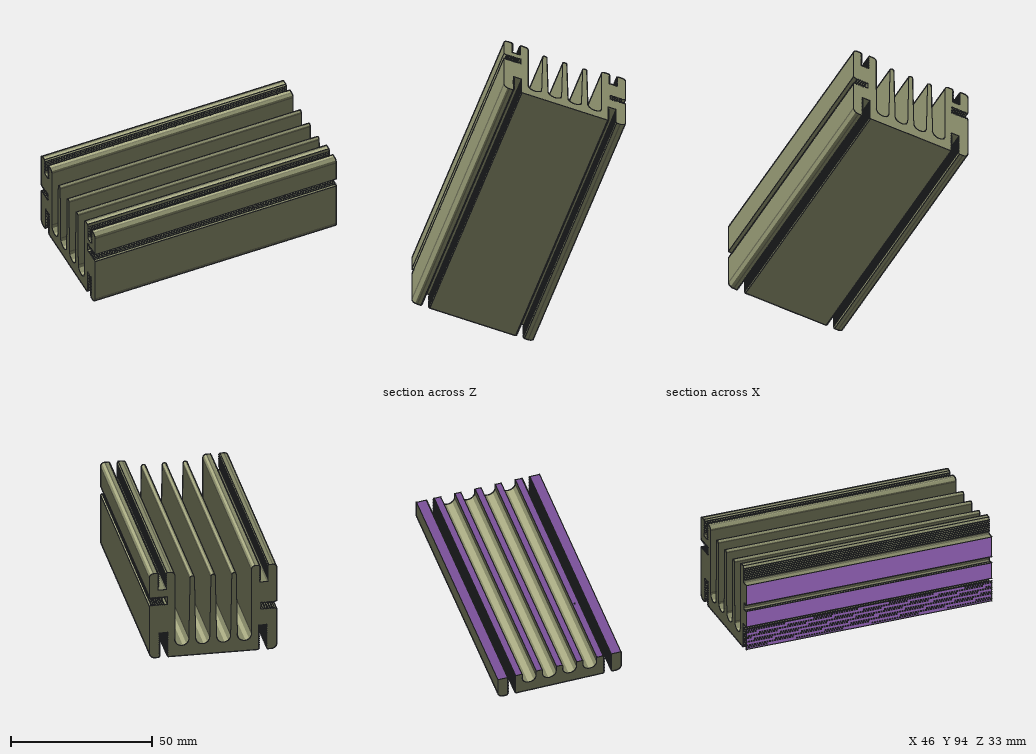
import cadquery as cq

WIDTH = 46.0
LENGTH = 94.0
HEIGHT = 33.0

OUTER_TOP_RADIUS = 1.5
OUTER_BOTTOM_RADIUS = 2.1
INNER_TOP_RADIUS = 1.3
BLOCK_INNER_X = 13.8

FIN_COUNT = 3
FIN_TOP_Z = 30.9
FIN_TIP_RADIUS = 0.8
CHANNEL_RADIUS = 2.5
CHANNEL_FLOOR_Z = 4.0
CHANNEL_COUNT = FIN_COUNT + 1
CHANNEL_PITCH = 2 * (BLOCK_INNER_X - CHANNEL_RADIUS) / FIN_COUNT
CHANNEL_AXIS_Z = CHANNEL_FLOOR_Z + CHANNEL_RADIUS

TOOTH_DEPTH = 0.3
MOUTH_FLARE = 0.2
TOOTH_PITCH = 0.74
SLOT_WIDTH = 3.0

TOP_SLOT_X = 18.3
TOP_SLOT_DEPTH = 6.6
TOP_SLOT_TEETH = 7
TOP_SLOT_CORNER_RADIUS = 0.3

BOTTOM_SLOT_X = 17.9
BOTTOM_SLOT_DEPTH = 9.5
BOTTOM_SLOT_TEETH = 11

RIGHT_SLOT_Z = 22.0
RIGHT_SLOT_DEPTH = 6.5
RIGHT_SLOT_TEETH = 7

LEFT_SLOT_Z = 17.0
LEFT_SLOT_WIDTH = 2.6
LEFT_SLOT_DEPTH = 5.8
LEFT_SLOT_PITCH = 0.88
LEFT_SLOT_TEETH = 5
LEFT_SLOT_CORNER_RADIUS = 0.4

FIRST_TOOTH = 0.6
LEFT_FIRST_TOOTH = 0.9
LEFT_MOUTH_FLARE = 0.4


def extrude_profile(sketch):
    """Extrude a closed XZ outline over the full length, centred on Y."""
    return sketch.extrude(LENGTH / 2, both=True)


def block_body():
    """Solid bar with the four outer long edges rounded."""
    body = cq.Workplane("XY").box(WIDTH, LENGTH, HEIGHT, centered=(True, True, False))
    body = body.edges("|Y and >Z").fillet(OUTER_TOP_RADIUS)
    return body.edges("|Y and <Z").fillet(OUTER_BOTTOM_RADIUS)


def fin_cavity():
    """Space between the side blocks: rounded channels separated by tapered fins."""
    first_axis_x = -CHANNEL_PITCH * (CHANNEL_COUNT - 1) / 2
    tip_axis_z = FIN_TOP_Z - FIN_TIP_RADIUS
    outline = cq.Workplane("XZ").moveTo(-BLOCK_INNER_X, HEIGHT)
    outline = outline.lineTo(-BLOCK_INNER_X, CHANNEL_AXIS_Z)
    for index in range(CHANNEL_COUNT):
        axis_x = first_axis_x + index * CHANNEL_PITCH
        outline = outline.threePointArc(
            (axis_x, CHANNEL_FLOOR_Z), (axis_x + CHANNEL_RADIUS, CHANNEL_AXIS_Z)
        )
        if index < FIN_COUNT:
            fin_x = axis_x + CHANNEL_PITCH / 2
            outline = outline.lineTo(fin_x - FIN_TIP_RADIUS, tip_axis_z)
            outline = outline.threePointArc(
                (fin_x, FIN_TOP_Z), (fin_x + FIN_TIP_RADIUS, tip_axis_z)
            )
            outline = outline.lineTo(axis_x + CHANNEL_PITCH - CHANNEL_RADIUS, CHANNEL_AXIS_Z)
    return extrude_profile(outline.lineTo(BLOCK_INNER_X, HEIGHT).close())


def serrated_wall(half_width, mouth_flare, first_tooth, pitch, teeth):
    """Points (depth, offset) down one slot wall: flared mouth, then crests and roots."""
    points = [(0, half_width + mouth_flare)]
    for index in range(teeth):
        crest_depth = first_tooth + index * pitch
        points.append((crest_depth, half_width - TOOTH_DEPTH))
        points.append((crest_depth + pitch / 2, half_width))
    return points


def screw_slot(
    mouth, inward, width, depth, pitch, teeth,
    first_tooth=FIRST_TOOTH, mouth_flare=MOUTH_FLARE, corner_radius=0,
):
    """Cutter for a serrated slot that starts at mouth (x, z) and runs along inward (x, z).

    The wall on the left of the inward direction has its teeth half a pitch deeper.
    """
    half_width = width / 2
    right_wall = serrated_wall(half_width, mouth_flare, first_tooth, pitch, teeth)
    left_wall = serrated_wall(half_width, mouth_flare, first_tooth + pitch / 2, pitch, teeth)
    local_points = [(d, -offset) for d, offset in right_wall]
    local_points += [(depth, -half_width), (depth, half_width)]
    local_points += [(d, offset) for d, offset in reversed(left_wall)]
    outline = [
        (mouth[0] + d * inward[0] - offset * inward[1], mouth[1] + d * inward[1] + offset * inward[0])
        for d, offset in local_points
    ]
    cutter = extrude_profile(cq.Workplane("XZ").polyline(outline).close())
    if corner_radius:
        end_face = cq.DirectionMinMaxSelector(cq.Vector(inward[0], 0, inward[1]))
        cutter = cutter.faces(end_face).edges("|Y").fillet(corner_radius)
    return cutter


def mirrored_pair(cutter):
    """The cutter together with its mirror image on the other side block."""
    return cutter.union(cutter.mirror("YZ"))


def round_inner_block_tops(body):
    """Round the top edges of the side blocks that face the fins."""
    margin = 0.1
    inner_tops = cq.selectors.BoxSelector(
        (-BLOCK_INNER_X - margin, -LENGTH, HEIGHT - margin),
        (BLOCK_INNER_X + margin, LENGTH, HEIGHT + margin),
    )
    return body.edges("|Y").edges(inner_tops).fillet(INNER_TOP_RADIUS)


top_slot = screw_slot(
    (-TOP_SLOT_X, HEIGHT), (0, -1), SLOT_WIDTH, TOP_SLOT_DEPTH,
    TOOTH_PITCH, TOP_SLOT_TEETH, corner_radius=TOP_SLOT_CORNER_RADIUS,
)
bottom_slot = screw_slot(
    (-BOTTOM_SLOT_X, 0), (0, 1), SLOT_WIDTH, BOTTOM_SLOT_DEPTH,
    TOOTH_PITCH, BOTTOM_SLOT_TEETH,
)
right_slot = screw_slot(
    (-WIDTH / 2, RIGHT_SLOT_Z), (1, 0), SLOT_WIDTH, RIGHT_SLOT_DEPTH,
    TOOTH_PITCH, RIGHT_SLOT_TEETH,
).mirror("YZ")
left_slot = screw_slot(
    (-WIDTH / 2, LEFT_SLOT_Z), (1, 0), LEFT_SLOT_WIDTH, LEFT_SLOT_DEPTH,
    LEFT_SLOT_PITCH, LEFT_SLOT_TEETH, LEFT_FIRST_TOOTH, LEFT_MOUTH_FLARE, LEFT_SLOT_CORNER_RADIUS,
)

result = round_inner_block_tops(block_body().cut(fin_cavity()))
result = result.cut(mirrored_pair(top_slot)).cut(mirrored_pair(bottom_slot))
result = result.cut(right_slot).cut(left_slot)